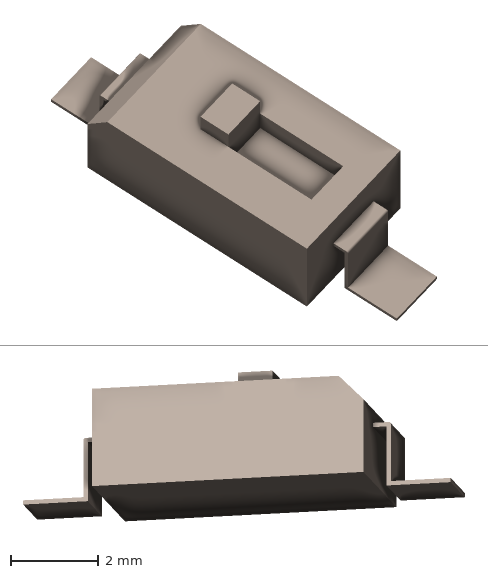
import cadquery as cq

HOUSING_LENGTH = 6.39
HOUSING_WIDTH = 3.5
HOUSING_TOP = 2.4
HOUSING_CHAMFER = 0.58

SLOT_LENGTH = 3.23
SLOT_WIDTH = 1.19
SLOT_DEPTH = 0.57
SLOT_INSET = 2.39
SLIDER_LENGTH = 0.81
SLIDER_TOP = 2.9

LEAD_THICKNESS = 0.1
LEAD_WIDTH = 1.5
LEAD_TOP = 1.5
LEAD_SHELF = 0.42
LEFT_REACH = 1.83
RIGHT_REACH = 1.84
BEND_RADIUS = 0.05

HOUSING_END = HOUSING_LENGTH / 2
HOUSING_BOTTOM = LEAD_THICKNESS
SLOT_START = SLOT_INSET - HOUSING_END
SLOT_FLOOR = HOUSING_TOP - SLOT_DEPTH


def box(x_start, length, width, bottom, top):
    """A block centred on Y, running along +X from x_start."""
    return cq.Workplane("XY").box(length, width, top - bottom, centered=(False, True, False)).translate(
        (x_start, 0, bottom)
    )


def make_housing():
    """A block with a chamfered -X top edge and a blind slot for the slider."""
    body = box(-HOUSING_END, HOUSING_LENGTH, HOUSING_WIDTH, HOUSING_BOTTOM, HOUSING_TOP)
    body = body.faces(">Z").edges("<X").chamfer(HOUSING_CHAMFER)
    slot = box(SLOT_START, SLOT_LENGTH, SLOT_WIDTH, SLOT_FLOOR, HOUSING_TOP)
    return body.cut(slot)


def make_slider():
    """A block that rests on the slot floor and rises above the housing."""
    return box(SLOT_START, SLIDER_LENGTH, SLOT_WIDTH, SLOT_FLOOR, SLIDER_TOP)


def make_lead(side, reach):
    """A Z-bent strip that touches the housing end; side is -1 for -X and 1 for +X."""
    upright_inner = LEAD_SHELF - LEAD_THICKNESS
    profile = [
        (0, LEAD_TOP - LEAD_THICKNESS),
        (upright_inner, LEAD_TOP - LEAD_THICKNESS),
        (upright_inner, 0),
        (reach, 0),
        (reach, LEAD_THICKNESS),
        (LEAD_SHELF, LEAD_THICKNESS),
        (LEAD_SHELF, LEAD_TOP),
        (0, LEAD_TOP),
    ]
    points = [(side * (HOUSING_END + out), height) for out, height in profile]
    strip = cq.Workplane("XZ").polyline(points).close().extrude(LEAD_WIDTH / 2, both=True)
    bend_point = (side * (HOUSING_END + LEAD_SHELF), 0, LEAD_TOP)
    return strip.edges(cq.NearestToPointSelector(bend_point)).fillet(BEND_RADIUS)


housing = make_housing()
slider = make_slider()
leads = [make_lead(side, reach) for side, reach in [(-1, LEFT_REACH), (1, RIGHT_REACH)]]

result = cq.Compound.makeCompound([housing.val(), slider.val(), *[lead.val() for lead in leads]])